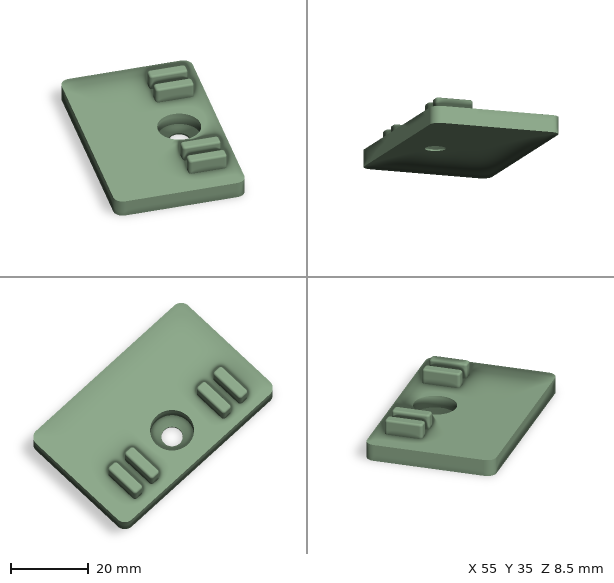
import cadquery as cq

plate_length = 55.0
plate_width = 35.0
plate_thickness = 4.5
plate_corner_radius = 2.55

hole_from_back = 10.5
head_diameter = 11.35
screw_diameter = 5.5
recess_depth = 3.3
seat_depth = 0.75

rib_thickness = 3.0
rib_length = 10.2
rib_height = 4.0
rib_from_back = 3.3
outer_rib_from_end = 7.0
rib_pitch = 6.0
rib_corner_radius = 0.75
rib_top_radius = 0.55

back_y = plate_width / 2

CENTERED_ON_BASE = (True, True, False)


def make_plate():
    plate = cq.Workplane("XY").box(plate_length, plate_width, plate_thickness, centered=CENTERED_ON_BASE)
    return plate.edges("|Z").fillet(plate_corner_radius)


def make_screw_hole():
    """Solid of revolution that cuts the recess, the conical seat and the through hole."""
    head_radius = head_diameter / 2
    screw_radius = screw_diameter / 2
    seat_top = plate_thickness - recess_depth
    seat_bottom = seat_top - seat_depth
    half_profile = [
        (0, 0),
        (screw_radius, 0),
        (screw_radius, seat_bottom),
        (head_radius, seat_top),
        (head_radius, plate_thickness),
        (0, plate_thickness),
    ]
    cutter = cq.Workplane("XZ").polyline(half_profile).close().revolve(360, (0, 0), (0, 1))
    return cutter.translate((0, back_y - hole_from_back, 0))


def make_rib(center_x):
    """Rib with rounded upright edges and a rounded top rim."""
    center_y = back_y - rib_from_back - rib_length / 2
    rib = cq.Workplane("XY").box(rib_thickness, rib_length, rib_height, centered=CENTERED_ON_BASE)
    rib = rib.edges("|Z").fillet(rib_corner_radius)
    rib = rib.faces(">Z").edges().fillet(rib_top_radius)
    return rib.translate((center_x, center_y, plate_thickness))


result = make_plate().cut(make_screw_hole())

outer_rib_x = plate_length / 2 - outer_rib_from_end - rib_thickness / 2
inner_rib_x = outer_rib_x - rib_pitch
for rib_x in (-outer_rib_x, -inner_rib_x, inner_rib_x, outer_rib_x):
    result = result.union(make_rib(rib_x))